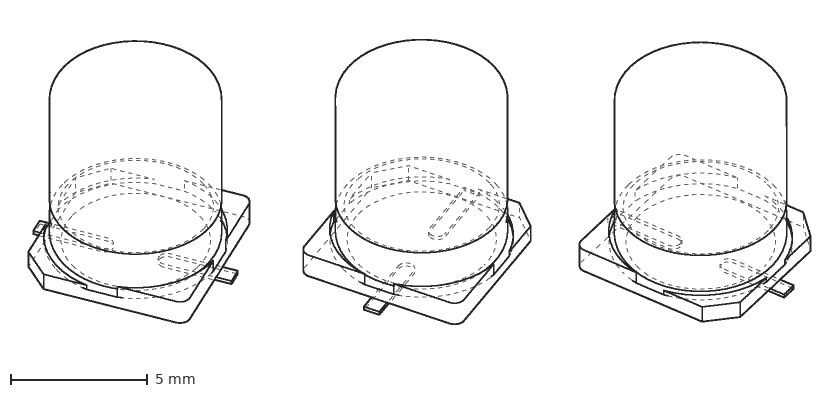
import cadquery as cq

total_length = 7.8
total_height = 7.7

lead_width = 0.64
lead_thickness = 0.15
lead_inner_end = 0.905

base_side = 6.6
base_low_height = 0.7
base_high_height = 1.0
base_chamfer = 1.0
base_corner_radius = 0.4
recess_radius = 3.355
recess_floor_height = 0.5

can_radius = 3.15
can_edge_radius = 0.42
groove_center_z = 2.255
groove_radius = 0.3
groove_depth = 0.31
groove_lip_radius = 0.04

base_bottom = lead_thickness
recess_floor = base_bottom + recess_floor_height


def make_base():
    """Square plate, raised on its +X half, with a round recess for the can."""
    plate = (
        cq.Workplane("XY", origin=(0, 0, base_bottom))
        .rect(base_side, base_side)
        .extrude(base_high_height)
    )
    plate = plate.edges("|Z and <X").chamfer(base_chamfer)
    plate = plate.edges("|Z and >X").fillet(base_corner_radius)
    step = (
        cq.Workplane("XY", origin=(-base_side / 2, 0, base_bottom + base_low_height))
        .rect(base_side, base_side)
        .extrude(base_high_height)
    )
    recess = (
        cq.Workplane("XY", origin=(0, 0, recess_floor))
        .circle(recess_radius)
        .extrude(base_high_height)
    )
    return plate.cut(step).cut(recess)


def make_can():
    """Cylinder with rounded ends and a rolled groove with softened lips."""
    can = (
        cq.Workplane("XY", origin=(0, 0, recess_floor))
        .circle(can_radius)
        .extrude(total_height - recess_floor)
        .faces("<Z or >Z")
        .edges()
        .fillet(can_edge_radius)
    )
    groove_center_radius = can_radius - groove_depth + groove_radius
    groove = (
        cq.Workplane("XZ")
        .center(groove_center_radius, groove_center_z)
        .circle(groove_radius)
        .revolve(360, (-groove_center_radius, 0), (-groove_center_radius, 1))
    )
    lips = cq.selectors.BoxSelector(
        (-total_length, -total_length, groove_center_z - groove_radius),
        (total_length, total_length, groove_center_z + groove_radius),
    )
    return can.cut(groove).edges(lips).fillet(groove_lip_radius)


def make_lead(side):
    """Flat lead with a round inner end; side is -1 or +1 along X."""
    end_radius = lead_width / 2
    arc_center_x = lead_inner_end + end_radius
    return (
        cq.Workplane("XY")
        .moveTo(side * total_length / 2, -end_radius)
        .lineTo(side * arc_center_x, -end_radius)
        .threePointArc((side * lead_inner_end, 0), (side * arc_center_x, end_radius))
        .lineTo(side * total_length / 2, end_radius)
        .close()
        .extrude(lead_thickness)
    )


result = make_base().union(make_can())
for lead_side in (-1, 1):
    result = result.union(make_lead(lead_side))